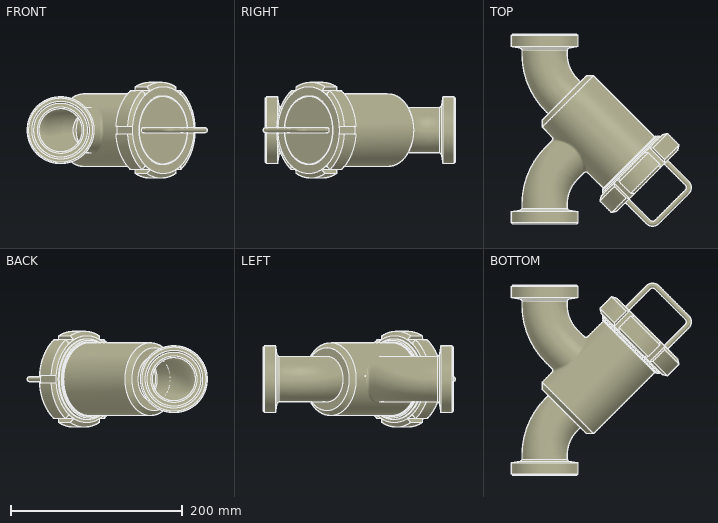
import cadquery as cq
import math


FACE_SPAN = 221.2
PIPE_OD = 53.0
PIPE_ID = 50.0
ELBOW_RADIUS = 67.0
ELBOW_ANGLE = 45
ELBOW_START = 23.5

FLANGE_OD = 78.0
FLANGE_EDGE = 14.5
FLANGE_CHAMFER = 1.8
NECK_OD = 56.4
NECK_START = 16.3
NECK_END = 18.3
SEAT_MOUTH_OD = 67.0
SEAT_FLOOR_OD = 62.6
SEAT_DEPTH = 6.0
BORE_MOUTH_OD = 54.0
BORE_MOUTH_DEPTH = 1.5

BODY_OD = 84.8
BODY_START = 32.5
BODY_CHAMFER = 5.8
CHAMBER_OD = 76.7
CHAMBER_START = 52.5
CHAMBER_END = 147.5
BASKET_OD = 54.0
BASKET_ID = 45.0
JOINT_FILLET = 3.0

SHOULDER_OD = 86.8
SHOULDER_START = 138.9
COLLAR_OD = 94.0
COLLAR_START = 140.0
COLLAR_CHAMFER = 1.8
NUT_OD = 111.5
NUT_START = 143.3
NUT_END = 168.8
NUT_FACE_OD = 101.0
NUT_CHAMFER = 3.1
SLOT_COUNT = 6
SLOT_WIDTH = 9.0
CAP_OD = 79.0
CAP_GAP_OD = 80.0
CAP_GAP_DEPTH = 2.2

WIRE_DIAMETER = 6.0
HANDLE_SPACING = 63.7
HANDLE_BEND = 7.2
HANDLE_END = 210.7
HANDLE_OFFSET = -1.1

BEND = math.radians(ELBOW_ANGLE)
TANGENT = ELBOW_RADIUS * math.tan(BEND / 2)
BODY_ORIGIN_Y = FACE_SPAN - ELBOW_START - TANGENT
BRANCH_ORIGIN_Y = ELBOW_START + TANGENT
BRANCH_REACH = (BODY_ORIGIN_Y - BRANCH_ORIGIN_Y) * math.cos(BEND)
BODY_PLANE = cq.Plane(
    origin=(0, BODY_ORIGIN_Y, 0),
    xDir=(math.cos(BEND), math.sin(BEND), 0),
    normal=(math.sin(BEND), -math.cos(BEND), 0),
)


def disc(diameter, start, end):
    """Cylinder on the local Z axis between two stations."""
    return cq.Workplane("XY").workplane(offset=start).circle(diameter / 2).extrude(end - start)


def turned(profile):
    """Solid of revolution about local Z from (diameter, station) points."""
    points = [(diameter / 2, station) for diameter, station in profile]
    return cq.Workplane("XZ").polyline(points).close().revolve(360, (0, 0), (0, 1))


def on_body(shape):
    """Move a shape from the local frame onto the slanted body."""
    return cq.Workplane(shape.val().moved(BODY_PLANE.location))


def at_lower_port(shape):
    """Turn a shape so that local Z runs from the lower port face into the pipe."""
    return shape.rotate((0, 0, 0), (1, 0, 0), -90)


def at_upper_port(shape):
    """Mirror a lower-port shape to the upper port."""
    return shape.mirror("XZ").translate((0, FACE_SPAN, 0))


def bend_point(angle):
    """Point on the lower pipe centreline after turning through `angle`."""
    return (
        ELBOW_RADIUS * (1 - math.cos(angle)),
        ELBOW_START + ELBOW_RADIUS * math.sin(angle),
    )


def branch_point(reach):
    """Point on the branch axis, `reach` past the bend corner."""
    return (reach * math.sin(BEND), BRANCH_ORIGIN_Y + reach * math.cos(BEND))


def elbow_pipe(diameter, reach):
    """Solid round bar from the lower port face through the bend, to `reach` past the bend corner."""
    path = (
        cq.Workplane("XY")
        .lineTo(0, ELBOW_START)
        .threePointArc(bend_point(BEND / 2), bend_point(BEND))
        .lineTo(*branch_point(reach))
    )
    return cq.Workplane("XZ").circle(diameter / 2).sweep(path)


def flange():
    return at_lower_port(turned([
        (0, 0),
        (FLANGE_OD - 2 * FLANGE_CHAMFER, 0),
        (FLANGE_OD, FLANGE_CHAMFER),
        (FLANGE_OD, FLANGE_EDGE),
        (NECK_OD, NECK_START),
        (PIPE_OD, NECK_END),
        (0, NECK_END),
    ]))


def port_recess():
    """Gasket seat and countersunk bore mouth."""
    return at_lower_port(turned([
        (0, 0),
        (SEAT_MOUTH_OD, 0),
        (SEAT_FLOOR_OD, SEAT_DEPTH),
        (BORE_MOUTH_OD, SEAT_DEPTH),
        (PIPE_ID, SEAT_DEPTH + BORE_MOUTH_DEPTH),
        (0, SEAT_DEPTH + BORE_MOUTH_DEPTH),
    ]))


def body():
    return on_body(disc(BODY_OD, BODY_START, NUT_START).faces("<Z").chamfer(BODY_CHAMFER))


def collar():
    ring = disc(COLLAR_OD, COLLAR_START, NUT_START).faces("<Z").chamfer(COLLAR_CHAMFER)
    return on_body(ring.union(disc(SHOULDER_OD, SHOULDER_START, COLLAR_START)))


def nut():
    blank = turned([
        (0, NUT_START),
        (NUT_FACE_OD, NUT_START),
        (NUT_OD, NUT_START + NUT_CHAMFER),
        (NUT_OD, NUT_END - NUT_CHAMFER),
        (NUT_FACE_OD, NUT_END),
        (0, NUT_END),
    ])
    slots = (
        cq.Workplane("XY")
        .workplane(offset=NUT_START)
        .polarArray(NUT_FACE_OD / 2 + SLOT_WIDTH / 2, 0, 360, SLOT_COUNT)
        .rect(SLOT_WIDTH, SLOT_WIDTH)
        .extrude(NUT_END - NUT_START)
    )
    gap_start = NUT_END - CAP_GAP_DEPTH
    gap = disc(CAP_GAP_OD, gap_start, NUT_END).cut(disc(CAP_OD, gap_start, NUT_END))
    return on_body(blank.cut(slots).cut(gap))


def handle():
    """Bent wire with two legs standing on the cap."""
    leg_start = NUT_END - CAP_GAP_DEPTH
    path = (
        cq.Workplane("XZ")
        .moveTo(-HANDLE_SPACING / 2, leg_start)
        .lineTo(-HANDLE_SPACING / 2, HANDLE_END - HANDLE_BEND)
        .radiusArc((-HANDLE_SPACING / 2 + HANDLE_BEND, HANDLE_END), HANDLE_BEND)
        .lineTo(HANDLE_SPACING / 2 - HANDLE_BEND, HANDLE_END)
        .radiusArc((HANDLE_SPACING / 2, HANDLE_END - HANDLE_BEND), HANDLE_BEND)
        .lineTo(HANDLE_SPACING / 2, leg_start)
    )
    wire = (
        cq.Workplane("XY", origin=(-HANDLE_SPACING / 2, 0, leg_start))
        .circle(WIRE_DIAMETER / 2)
        .sweep(path)
    )
    return on_body(wire.translate((HANDLE_OFFSET, 0, 0)))


def chamber():
    """Annular space around the strainer basket, plus the space inside the basket."""
    around = disc(CHAMBER_OD, CHAMBER_START, CHAMBER_END).cut(
        disc(BASKET_OD, CHAMBER_START, CHAMBER_END)
    )
    return on_body(around.union(disc(BASKET_ID, CHAMBER_START, CHAMBER_END)))


joined = body().union(elbow_pipe(PIPE_OD, BRANCH_REACH))
joint_point = (*branch_point(BRANCH_REACH - BODY_OD / 2), PIPE_OD / 2)
joined = joined.edges(cq.NearestToPointSelector(joint_point)).fillet(JOINT_FILLET)

solid = (
    joined
    .union(at_upper_port(elbow_pipe(PIPE_OD, BODY_START + BODY_CHAMFER)))
    .union(flange())
    .union(at_upper_port(flange()))
    .union(collar())
    .union(nut())
    .union(handle())
)

branch_bore_reach = BRANCH_REACH - BASKET_OD / 2
branch_bore = elbow_pipe(PIPE_ID, branch_bore_reach).cut(on_body(disc(BASKET_OD, 0, CHAMBER_END)))
result = (
    solid
    .cut(chamber())
    .cut(branch_bore)
    .cut(at_upper_port(elbow_pipe(PIPE_ID, CHAMBER_START)))
    .cut(port_recess())
    .cut(at_upper_port(port_recess()))
)